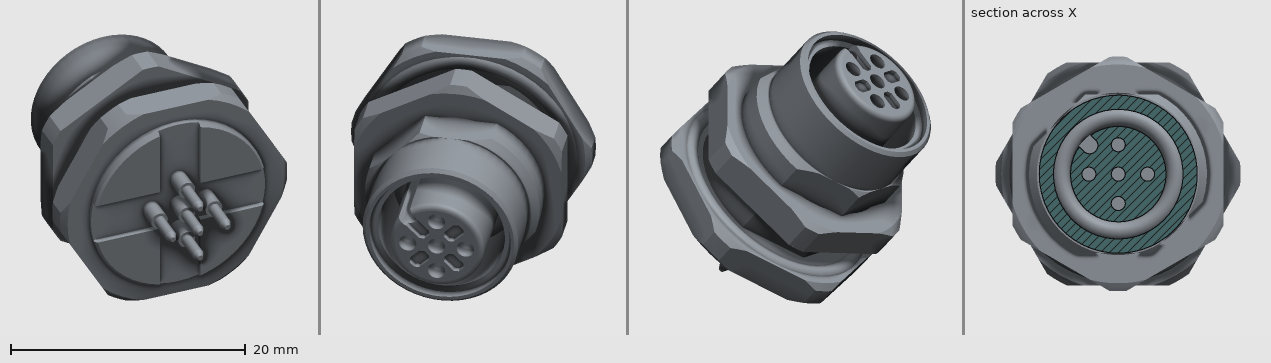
import cadquery as cq
import math


shell_front = 1.5
thread_front = 6.5
nut_front = 9.49
nut_thickness = 2.83
flange_front = 15.3
flange_rear = 18.0
rear_slot_floor = 18.5
collar_rear = 19.0
shoulder_end = 20.5
overall_length = 23.6

shell_radius = 13.5 / 2
shell_chamfer = 0.3
mouth_radius = 12.3 / 2
mouth_depth = 0.75
cavity_radius = 11.0 / 2
cavity_floor = 9.45
carrier_radius = 4.08
carrier_fillet = 0.5
bead_rim = 8.97
bead_crest = 8.68
bead_crest_radius = 4.85

thread_radius = 7.58
thread_chamfer = 0.65
flat_distance = shell_radius
flat_normals = (90, 45, -90, -135)

inner_bore_radius = 5.73

flange_across_flats = 18.97
flange_corner_radius = 20.89 / 2
flange_chamfer = 0.5
collar_radius = 16.0 / 2
collar_chamfer = (16.0 - 15.6) / 2
rear_slot_width = 3.73

contact_pitch = 2.5
contact_places = [
    (0, 0),
    (contact_pitch, 0),
    (0, contact_pitch),
    (-contact_pitch, 0),
    (0, -contact_pitch),
]
pin_root = flange_rear
shoulder_radius = 1.5 / 2
pin_radius = 1.0 / 2
pin_tip_radius = 0.24
pin_tip_length = 0.57
socket_radius = 1.5 / 2
socket_depth = 1.0
contact_bore_radius = 1.15 / 2
contact_bore_end = 5.9

pocket_inner = 1.2
pocket_length = 1.82
pocket_width = 1.18
pocket_corner = 0.3
pocket_depth = 0.5
pocket_angles = (135, 225, 315)
keyway_angle = 45
keyway_width = 1.37
keyway_centre = 3.45
edge_overrun = 0.12

nut_across_flats = 17.98
nut_corner_radius = 20.0 / 2
nut_bore_radius = thread_radius - thread_chamfer
nut_face_radius = 9.32
nut_chamfer_length = 0.35

seal_radius = 8.65
seal_section_radius = 0.75
seal_front = 15.0


def at_x(x):
    """Workplane across the connector axis: local x is Y, local y is Z."""
    return cq.Workplane("YZ", origin=(x, 0, 0))


def disc(start, end, radius):
    return at_x(start).circle(radius).extrude(end - start)


def hexagon(start, end, across_flats):
    """Hexagonal prism with two corners on the Y axis."""
    across_corners = across_flats / math.cos(math.pi / 6)
    return at_x(start).polygon(6, across_corners).extrude(end - start)


def turned(profile):
    """Revolve a wire drawn as (x, radius) about the connector axis."""
    return profile.close().revolve(360, (0, 0, 0), (1, 0, 0))


def turn_to(body, angle):
    return body.rotate((0, 0, 0), (1, 0, 0), angle)


def make_shell():
    """Round shell with its socket cavity, contact carrier and sealing bead."""
    mouth_floor = shell_front + mouth_depth
    fillet_middle = carrier_fillet * (1 - math.sqrt(0.5))
    profile = (
        cq.Workplane("XY")
        .moveTo(0, 0)
        .lineTo(0, carrier_radius - carrier_fillet)
        .threePointArc((fillet_middle, carrier_radius - fillet_middle), (carrier_fillet, carrier_radius))
        .lineTo(cavity_floor, carrier_radius)
        .threePointArc((bead_crest, bead_crest_radius), (bead_rim, cavity_radius))
        .lineTo(mouth_floor, cavity_radius)
        .lineTo(mouth_floor, mouth_radius)
        .lineTo(shell_front, mouth_radius)
        .lineTo(shell_front, shell_radius - shell_chamfer)
        .lineTo(shell_front + shell_chamfer, shell_radius)
        .lineTo(flange_rear, shell_radius)
        .lineTo(flange_rear, 0)
    )
    return turned(profile)


def make_thread():
    """Chamfered thread cylinder with four flats, hollow where the shell fills it."""
    thread = disc(thread_front, flange_rear, thread_radius).faces("<X").chamfer(thread_chamfer)
    length = flange_rear - thread_front
    for angle in flat_normals:
        cutter = at_x(thread_front).center(flat_distance + thread_radius / 2, 0)
        cutter = cutter.rect(thread_radius, 2 * thread_radius).extrude(length)
        thread = thread.cut(turn_to(cutter, angle))
    return thread.cut(disc(thread_front, flange_rear, inner_bore_radius))


def make_flange():
    envelope = disc(flange_front, flange_rear, flange_corner_radius).edges().chamfer(flange_chamfer)
    flange = hexagon(flange_front, flange_rear, flange_across_flats).intersect(envelope)
    return flange.cut(disc(flange_front, flange_rear, inner_bore_radius))


def make_collar():
    """Rear collar crossed by two slots that reach down to the contact shoulders."""
    collar = disc(flange_rear, collar_rear, collar_radius).faces(">X").chamfer(collar_chamfer)
    slot = at_x(rear_slot_floor).rect(rear_slot_width, 2 * collar_radius)
    slot = slot.extrude(collar_rear - rear_slot_floor)
    return collar.cut(slot).cut(turn_to(slot, 90))


def make_contact_pins():
    pin_straight_end = overall_length - pin_tip_length
    pin = turned(
        cq.Workplane("XY")
        .moveTo(pin_root, 0)
        .lineTo(pin_root, shoulder_radius)
        .lineTo(shoulder_end, shoulder_radius)
        .lineTo(shoulder_end, pin_radius)
        .lineTo(pin_straight_end, pin_radius)
        .lineTo(overall_length, pin_tip_radius)
        .lineTo(overall_length, 0)
    )
    return [pin.translate((0, y, z)) for y, z in contact_places]


def make_contact_sockets():
    funnel_end = socket_depth + socket_radius - contact_bore_radius
    socket = turned(
        cq.Workplane("XY")
        .lineTo(0, socket_radius)
        .lineTo(socket_depth, socket_radius)
        .lineTo(funnel_end, contact_bore_radius)
        .lineTo(contact_bore_end, contact_bore_radius)
        .lineTo(contact_bore_end, 0)
    )
    return [socket.translate((0, y, z)) for y, z in contact_places]


def make_pocket(length, angle):
    """Shallow radial pocket with clipped corners, running outward from near the axis."""
    pocket = at_x(0).center(pocket_inner + length / 2, 0)
    pocket = pocket.rect(length, pocket_width).extrude(pocket_depth)
    pocket = pocket.edges("|X").chamfer(pocket_corner)
    return turn_to(pocket, angle)


def make_pockets():
    """Three closed pockets and a longer one that runs into the keyway."""
    pockets = [make_pocket(pocket_length, angle) for angle in pocket_angles]
    keyway_pocket_length = carrier_radius + edge_overrun - pocket_inner
    return [*pockets, make_pocket(keyway_pocket_length, keyway_angle)]


def make_keyway():
    """Round-bottomed groove along the carrier, open to the outside."""
    reach = carrier_radius + edge_overrun - keyway_centre
    groove = at_x(0).center(keyway_centre + reach / 2, 0).rect(reach, keyway_width)
    groove = groove.extrude(bead_crest)
    bottom = at_x(0).center(keyway_centre, 0).circle(keyway_width / 2).extrude(bead_crest)
    return turn_to(groove.union(bottom), keyway_angle)


def make_seal():
    section = cq.Workplane("XY").center(seal_front + seal_section_radius, seal_radius)
    section = section.circle(seal_section_radius)
    return section.revolve(360, (0, -seal_radius, 0), (1, -seal_radius, 0))


def make_connector():
    connector = make_shell()
    for piece in [make_thread(), make_flange(), make_collar(), *make_contact_pins()]:
        connector = connector.union(piece)
    for hollow in [*make_contact_sockets(), *make_pockets(), make_keyway(), make_seal()]:
        connector = connector.cut(hollow)
    return connector


def make_nut():
    """Hexagon nut with corners on the Z axis, front corners chamfered, fitted to the thread."""
    nut_rear = nut_front + nut_thickness
    envelope = disc(nut_front, nut_rear, nut_corner_radius)
    envelope = envelope.faces("<X").chamfer(nut_chamfer_length, nut_corner_radius - nut_face_radius)
    nut = turn_to(hexagon(nut_front, nut_rear, nut_across_flats), 90).intersect(envelope)
    return nut.cut(disc(nut_front, nut_rear, nut_bore_radius)).cut(make_thread())


connector = make_connector()
nut = make_nut()
seal = make_seal()
result = cq.Compound.makeCompound([connector.val(), nut.val(), seal.val()])